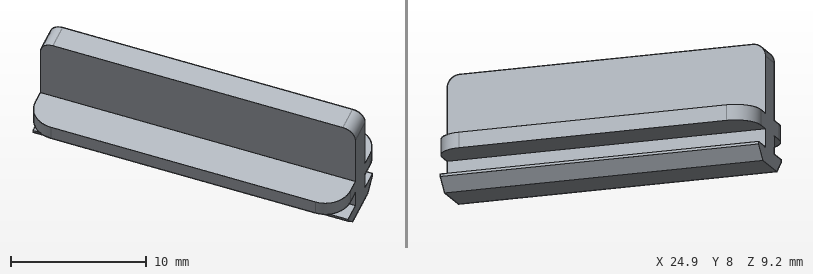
import cadquery as cq

length = 24.9
height = 9.2

web_thickness = 2.0
web_corner_radius = 1.0

flange_width = 8.0
flange_thickness = 1.2
flange_bottom = 2.6
flange_corner_radius = 2.0

foot_width = 5.0
foot_base_width = 3.1
foot_height = 1.2
foot_lip_height = 0.2


def make_web():
    """Upright plate with its two upper corners rounded."""
    web = cq.Workplane("XY").box(length, web_thickness, height, centered=(True, True, False))
    return web.faces(">Z").edges("|Y").fillet(web_corner_radius)


def make_flange():
    """Flat plate across the web with rounded corners."""
    flange = cq.Workplane("XY").workplane(offset=flange_bottom)
    flange = flange.box(length, flange_width, flange_thickness, centered=(True, True, False))
    return flange.edges("|Z").fillet(flange_corner_radius)


def make_foot():
    """Full-length foot with a short vertical lip and sides that taper in to the base."""
    half_width = foot_width / 2
    half_base = foot_base_width / 2
    taper_top = foot_height - foot_lip_height
    profile = [
        (-half_base, 0),
        (half_base, 0),
        (half_width, taper_top),
        (half_width, foot_height),
        (-half_width, foot_height),
        (-half_width, taper_top),
    ]
    return cq.Workplane("YZ").polyline(profile).close().extrude(length / 2, both=True)


result = make_web().union(make_flange()).union(make_foot())